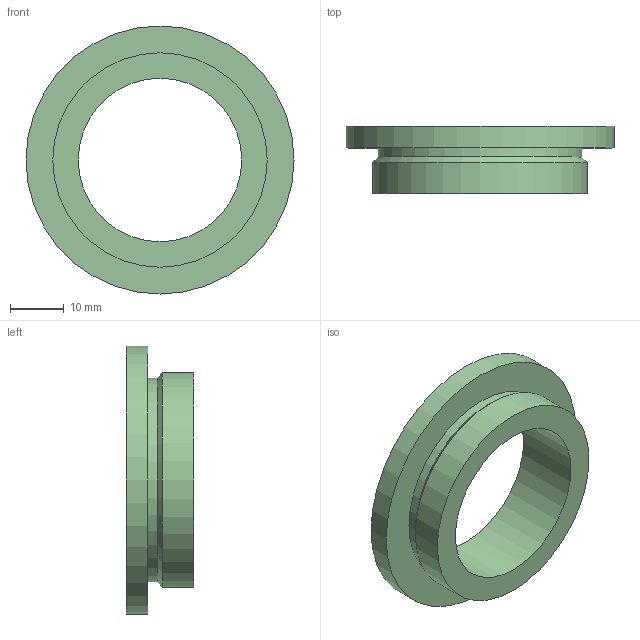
import cadquery as cq

bore_diameter = 30.5
neck_diameter = 38.0
barrel_diameter = 40.0
flange_diameter = 50.0
total_length = 12.5
flange_thickness = 4.0
barrel_length = 5.8

chamfer_length = (barrel_diameter - neck_diameter) / 2

barrel_front = 0.0
chamfer_start = barrel_front + barrel_length
neck_start = chamfer_start + chamfer_length
flange_back = barrel_front + total_length
flange_front = flange_back - flange_thickness


def make_flanged_ring():
    """Revolve the half section (radius along X) about the Y axis."""
    bore_radius = bore_diameter / 2
    neck_radius = neck_diameter / 2
    barrel_radius = barrel_diameter / 2
    flange_radius = flange_diameter / 2
    section = [
        (bore_radius, barrel_front),
        (barrel_radius, barrel_front),
        (barrel_radius, chamfer_start),
        (neck_radius, neck_start),
        (neck_radius, flange_front),
        (flange_radius, flange_front),
        (flange_radius, flange_back),
        (bore_radius, flange_back),
    ]
    axis_start = (0, 0, 0)
    axis_end = (0, 1, 0)
    return cq.Workplane("XY").polyline(section).close().revolve(360, axis_start, axis_end)


result = make_flanged_ring()